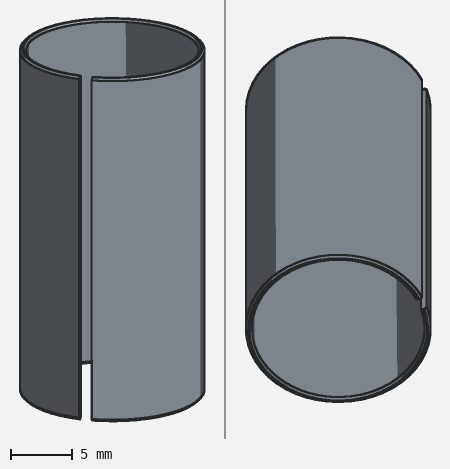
import cadquery as cq

length = 29.5
outer_diameter = 15.0
wall = 0.5
slit_width = 1.05
edge_chamfer = 0.2

outer_radius = outer_diameter / 2
inner_radius = outer_radius - wall


def sleeve():
    """Thin tube with inner and outer edges chamfered at both ends."""
    tube = cq.Workplane("XY").circle(outer_radius).circle(inner_radius).extrude(length)
    return tube.faces("<Z or >Z").edges().chamfer(edge_chamfer)


def slit():
    """Full-length cutter through the wall on the -Y side."""
    return cq.Workplane("XY").box(
        slit_width, outer_radius, length, centered=(True, False, False)
    ).translate((0, -outer_radius, 0))


result = sleeve().cut(slit())